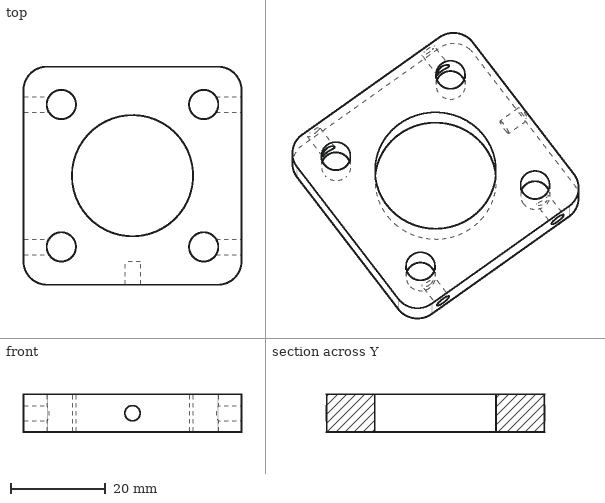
import cadquery as cq

side = 46.0
thickness = 8.0
corner_radius = 5.0

bore_diameter = 25.5
rod_hole_diameter = 6.1
rod_spacing = 30.0

edge_hole_diameter = 3.2
front_hole_depth = 5.0


def edge_drill(start, direction, depth):
    """Cylinder running from a point on an edge face into the plate."""
    return cq.Workplane(
        cq.Solid.makeCylinder(
            edge_hole_diameter / 2, depth, cq.Vector(*start), cq.Vector(*direction)
        )
    )


plate = cq.Workplane("XY").box(side, side, thickness).edges("|Z").fillet(corner_radius)
plate = plate.faces(">Z").workplane().hole(bore_diameter)
plate = plate.faces(">Z").workplane().rarray(rod_spacing, rod_spacing, 2, 2).hole(rod_hole_diameter)

screw_depth = (side - rod_spacing) / 2
for x_sign in (-1, 1):
    for y_sign in (-1, 1):
        start = (x_sign * side / 2, y_sign * rod_spacing / 2, 0)
        plate = plate.cut(edge_drill(start, (-x_sign, 0, 0), screw_depth))

plate = plate.cut(edge_drill((0, -side / 2, 0), (0, 1, 0), front_hole_depth))

result = plate